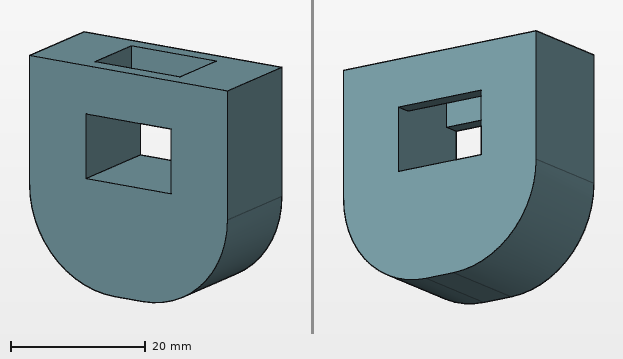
import cadquery as cq

width = 35.0
height = 35.0
thickness = 15.0
corner_radius = 15.0

opening_width = 15.0
window_height = 10.0
window_top_margin = 7.5
slot_thickness = 10.0

top_z = height / 2
window_top_z = top_z - window_top_margin
window_floor_z = window_top_z - window_height


def make_body():
    plate = cq.Workplane("XY").box(width, thickness, height)
    return plate.edges("|Y and <Z").fillet(corner_radius)


def make_window():
    window_centre_z = (window_top_z + window_floor_z) / 2
    window = cq.Workplane("XY").box(opening_width, thickness, window_height)
    return window.translate((0, 0, window_centre_z))


def make_top_slot():
    slot = cq.Workplane("XY").workplane(offset=window_floor_z)
    return slot.rect(opening_width, slot_thickness).extrude(top_z - window_floor_z)


result = make_body().cut(make_window()).cut(make_top_slot())